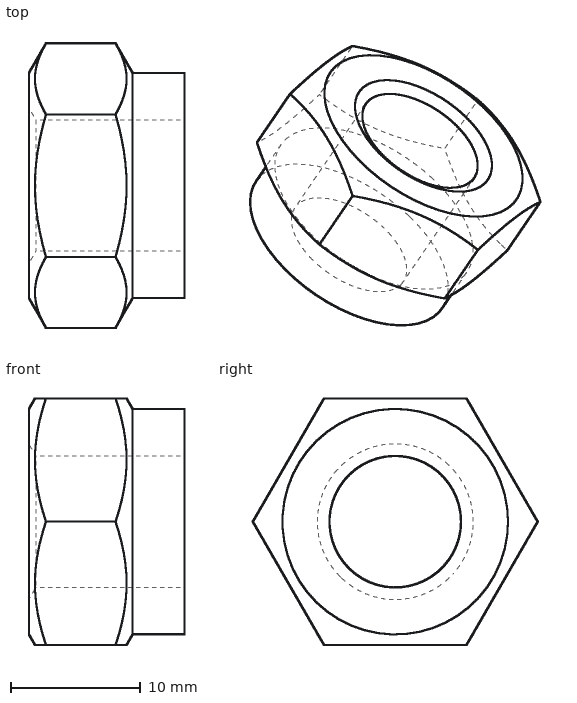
import cadquery as cq
import math

side_count = 6
across_flats = 19.0
hex_length = 8.0
total_length = 12.0
collar_diameter = 17.36
bore_diameter = 10.106
countersink_diameter = 12.0
countersink_half_angle = 60.0
corner_chamfer_angle = 30.0

across_corners = across_flats / math.cos(math.pi / side_count)
collar_radius = collar_diameter / 2
corner_radius = across_corners / 2
bore_radius = bore_diameter / 2
countersink_radius = countersink_diameter / 2
chamfer_length = (corner_radius - collar_radius) * math.tan(math.radians(corner_chamfer_angle))
countersink_depth = (countersink_radius - bore_radius) / math.tan(math.radians(countersink_half_angle))


def revolve_about_x(points):
    """Solid of revolution from (x, radius) points about the X axis."""
    return cq.Workplane("XY").polyline(points).close().revolve(360, (0, 0, 0), (1, 0, 0))


def make_hexagon():
    """Hexagonal body, corners on +/-Y, with both ends turned to a cone."""
    prism = cq.Workplane("YZ").polygon(side_count, across_corners).extrude(hex_length)
    turned_envelope = revolve_about_x([
        (0, 0),
        (0, collar_radius),
        (chamfer_length, corner_radius),
        (hex_length - chamfer_length, corner_radius),
        (hex_length, collar_radius),
        (hex_length, 0),
    ])
    return prism.intersect(turned_envelope)


def make_collar():
    """Round collar behind the hexagon."""
    collar_length = total_length - hex_length
    return cq.Workplane("YZ", origin=(hex_length, 0, 0)).circle(collar_radius).extrude(collar_length)


def make_bore():
    """Through bore with a countersunk mouth at the hexagon end."""
    return revolve_about_x([
        (0, 0),
        (0, countersink_radius),
        (countersink_depth, bore_radius),
        (total_length, bore_radius),
        (total_length, 0),
    ])


result = make_hexagon().union(make_collar()).cut(make_bore())